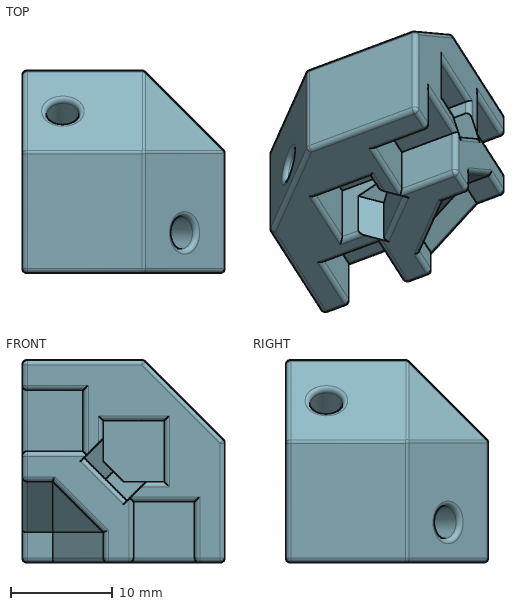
import cadquery as cq
import math

cube_size = 20.0
cube_chamfer = 8.0
hollow_size = 8.0
hollow_chamfer = 5.0
edge_radius = 0.5

pocket_size = 6.0
notch_start = 11.0
face_pocket_start = 8.0
face_pocket_bevel = 2.0

screw_diameter = 3.2
screw_offset = 4.0
nut_width = 6.0
nut_floor = 11.65

nut_half_width = nut_width / 2
hexagon_side = nut_width / math.sqrt(3)
nut_shoulder = screw_offset + hexagon_side / 2
nut_tip = screw_offset + hexagon_side
face_pocket_depth = nut_tip

nut_top = face_pocket_start * math.sqrt(2) + nut_half_width
chamfer_distance = (2 * cube_size - cube_chamfer) / math.sqrt(2)
pocket_far_corner = (face_pocket_start + pocket_size) * math.sqrt(2)


def chamfered_cube(size, chamfer):
    """Cube at the origin with the three edges of its far corner chamfered."""
    cube = cq.Workplane("XY").box(size, size, size, centered=False)
    return cube.edges("(>X and >Y) or (>X and >Z) or (>Y and >Z)").chamfer(chamfer)


def around_diagonal(shape):
    """The shape and its two copies turned about the cube diagonal."""
    return [shape.rotate((0, 0, 0), (1, 1, 1), angle) for angle in (0, 120, 240)]


def cut_three(body, shape):
    """Cut the shape and its two turned copies from the body."""
    for copy in around_diagonal(shape):
        body = body.cut(copy)
    return body


def plane_along_screw(x, across):
    """Plane with local x along X and local y along the screw axis, set off across the slot."""
    step = across / math.sqrt(2)
    return cq.Workplane(cq.Plane(origin=(x, -step, step), xDir=(1, 0, 0), normal=(0, -1, 1)))


def edge_notch():
    """Cubic notch on the vertical edge through the origin."""
    notch = cq.Workplane("XY").box(pocket_size, pocket_size, pocket_size, centered=False)
    return notch.translate((0, 0, notch_start))


def face_pocket():
    """Square pocket in the X = 0 face, beveled at the corner nearest the origin."""
    pocket = cq.Workplane("XY").box(face_pocket_depth, pocket_size, pocket_size, centered=False)
    pocket = pocket.edges("<Y and <Z").chamfer(face_pocket_bevel)
    return pocket.translate((0, face_pocket_start, face_pocket_start))


def nut_slot():
    """Nut slot along the screw axis, with its floor rounded over at the mouth."""
    floor_step = nut_floor / math.sqrt(2)
    floor = cq.Plane(origin=(0, floor_step, floor_step), xDir=(1, 0, 0), normal=(0, 1, 1))
    slot = (
        cq.Workplane(floor)
        .moveTo(0, -nut_half_width)
        .lineTo(nut_shoulder, -nut_half_width)
        .lineTo(nut_tip, 0)
        .lineTo(nut_shoulder, nut_half_width)
        .lineTo(0, nut_half_width)
        .close()
        .extrude(nut_top - nut_floor)
    )
    flare = (
        plane_along_screw(0, nut_half_width)
        .moveTo(0, nut_floor)
        .lineTo(edge_radius, nut_floor)
        .radiusArc((0, nut_floor - edge_radius), -edge_radius)
        .close()
        .extrude(-nut_width)
    )
    return slot.union(flare)


def screw_hole():
    """Hole from the chamfer into the face pocket, rounded over at its mouth."""
    radius = screw_diameter / 2
    hole_end = pocket_far_corner - radius
    return (
        plane_along_screw(screw_offset, 0)
        .moveTo(0, chamfer_distance)
        .lineTo(radius + edge_radius, chamfer_distance)
        .radiusArc((radius, chamfer_distance - edge_radius), -edge_radius)
        .lineTo(radius, hole_end)
        .lineTo(0, hole_end)
        .close()
        .revolve(360, (0, 0), (0, 1))
    )


body = chamfered_cube(cube_size, cube_chamfer).cut(chamfered_cube(hollow_size, hollow_chamfer))
body = cut_three(body, edge_notch())
body = cut_three(body, face_pocket())

outer_edges = body.faces("<X or >X or <Y or >Y or <Z or >Z or >(1,1,1)").edges()
body = body.newObject(outer_edges.vals()).fillet(edge_radius)

body = cut_three(body, nut_slot())
result = cut_three(body, screw_hole()).solids()